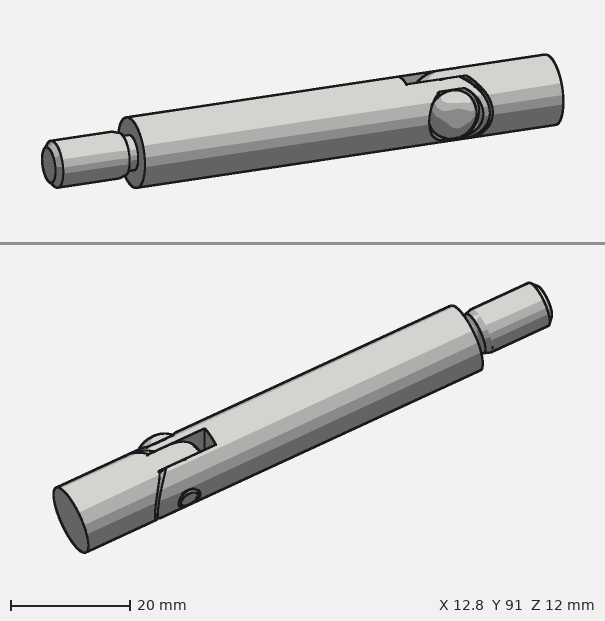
import cadquery as cq
import math


rod_radius = 6.0
overall_length = 91.0
eye_end_y = 19.5
stud_length = 15.0
stud_tip_y = eye_end_y - overall_length
fork_face_y = stud_tip_y + stud_length

tongue_width = 3.8
ear_radius = 6.1
shoulder_radius = 6.6
slot_floor_y = -7.4

stud_radius = 4.0
neck_radius = 3.0
neck_length = 0.9
neck_fillet_radius = 0.6
neck_flare_radius = 3.6
lead_in_end = 3.0
tip_chamfer = 1.0

rivet_radius = 2.1
rivet_chamfer = 0.5
rivet_end_x = -rod_radius
head_radius = 4.3
head_top_x = 6.8
counterbore_radius = 4.9
counterbore_floor_x = 4.1
head_rounding = head_top_x - counterbore_floor_x


def rod_along_y(start_y, end_y):
    """Plain rod between two places on the Y axis."""
    return cq.Workplane("XZ", origin=(0, end_y, 0)).circle(rod_radius).extrude(end_y - start_y)


def disc_along_x(radius, start_x, end_x):
    """Cylinder around the hinge axis between two places on it."""
    return cq.Workplane("YZ", origin=(start_x, 0, 0)).circle(radius).extrude(end_x - start_x)


def make_eye():
    """Rod whose tongue ends in a ball of the rod's own radius."""
    eye = rod_along_y(0, eye_end_y).union(cq.Workplane("XY").sphere(rod_radius))
    half_tongue = tongue_width / 2
    for start_x, end_x in ((-rod_radius, -half_tongue), (half_tongue, rod_radius)):
        eye = eye.cut(disc_along_x(shoulder_radius, start_x, end_x))
    return eye.cut(disc_along_x(rivet_radius, -rod_radius, rod_radius))


def make_stud():
    """Stud with an undercut neck and a chamfered tip, turned around Y."""
    flare_angle = math.radians(45)
    neck_end_y = fork_face_y - neck_length
    fillet_end_radius = neck_radius + neck_fillet_radius * (1 - math.cos(flare_angle))
    fillet_end_y = neck_end_y - neck_fillet_radius * math.sin(flare_angle)
    flare_end_y = fillet_end_y - (neck_flare_radius - fillet_end_radius) / math.tan(flare_angle)
    return (
        cq.Workplane("XY")
        .moveTo(0, fork_face_y)
        .lineTo(neck_radius, fork_face_y)
        .lineTo(neck_radius, neck_end_y)
        .tangentArcPoint((fillet_end_radius, fillet_end_y), relative=False)
        .lineTo(neck_flare_radius, flare_end_y)
        .lineTo(stud_radius, fork_face_y - lead_in_end)
        .lineTo(stud_radius, stud_tip_y + tip_chamfer)
        .lineTo(stud_radius - tip_chamfer, stud_tip_y)
        .lineTo(0, stud_tip_y)
        .close()
        .revolve(360, (0, 0, 0), (0, 1, 0))
    )


def make_fork():
    """Slotted rod with two rounded ears, a rivet hole, a counterbore and a stud."""
    round_end = disc_along_x(ear_radius, -rod_radius, rod_radius)
    fork = rod_along_y(fork_face_y, 0).union(rod_along_y(0, ear_radius).intersect(round_end))
    slot_length = ear_radius - slot_floor_y
    slot = cq.Workplane("XY").box(tongue_width, slot_length, 2 * rod_radius)
    fork = fork.cut(slot.translate((0, slot_floor_y + slot_length / 2, 0)))
    fork = fork.cut(disc_along_x(rivet_radius, -rod_radius, rod_radius))
    fork = fork.cut(disc_along_x(counterbore_radius, counterbore_floor_x, rod_radius))
    return fork.union(make_stud())


def make_rivet():
    """Rivet with a rounded head and a chamfered shank, turned around X."""
    return (
        cq.Workplane("XY")
        .moveTo(rivet_end_x, 0)
        .lineTo(rivet_end_x, rivet_radius - rivet_chamfer)
        .lineTo(rivet_end_x + rivet_chamfer, rivet_radius)
        .lineTo(counterbore_floor_x, rivet_radius)
        .lineTo(counterbore_floor_x, head_radius)
        .radiusArc((head_top_x, head_radius - head_rounding), head_rounding)
        .lineTo(head_top_x, 0)
        .close()
        .revolve(360, (0, 0, 0), (1, 0, 0))
    )


eye = make_eye()
fork = make_fork()
rivet = make_rivet()

result = cq.Compound.makeCompound([eye.val(), fork.val(), rivet.val()])